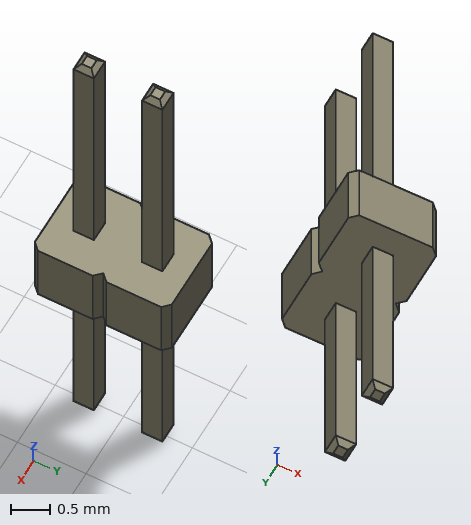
import cadquery as cq

total_height = 7.8
body_width = 1.27
pitch = 1.0
pin_count = 2
body_height = 1.0
corner_cut = 0.1

pin_size = 0.3
tail_length = 3.0
tip_chamfer = 0.08


def row_position(index):
    """Y position of one pin, with the row centred on the origin."""
    return (index - (pin_count - 1) / 2) * pitch


def make_cell(y):
    """One octagonal housing cell; neighbouring cells leave V notches between them."""
    return (
        cq.Workplane("XY")
        .box(body_width, pitch, body_height, centered=(True, True, False))
        .edges("|Z")
        .chamfer(corner_cut)
        .translate((0, y, 0))
    )


def make_pin(y):
    """One square pin through the housing, tapered at both ends."""
    return (
        cq.Workplane("XY")
        .box(pin_size, pin_size, total_height, centered=(True, True, False))
        .faces("<Z or >Z")
        .chamfer(tip_chamfer)
        .translate((0, y, -tail_length))
    )


result = make_cell(row_position(0)).union(make_pin(row_position(0)))
for index in range(1, pin_count):
    y = row_position(index)
    result = result.union(make_cell(y)).union(make_pin(y))